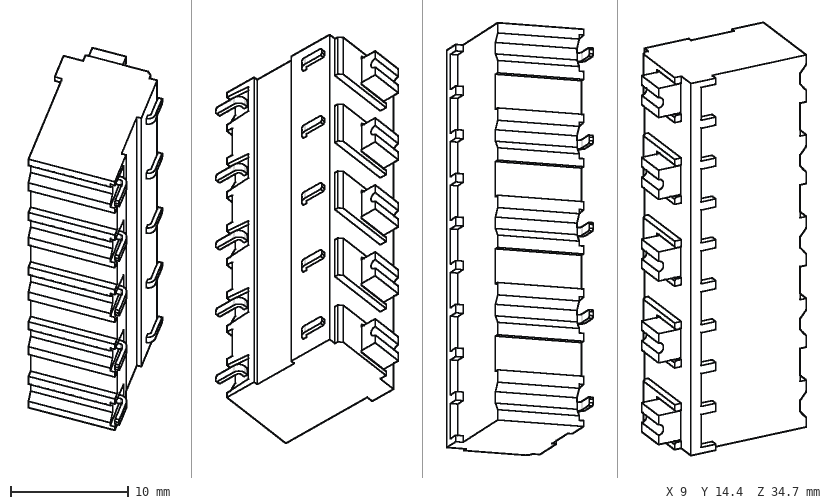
import cadquery as cq

POLE_COUNT = 5
POLE_PITCH = 7.62
TOTAL_LENGTH = 34.68
POLE_ZS = [(i - (POLE_COUNT - 1) / 2) * POLE_PITCH for i in range(POLE_COUNT)]
GAP_ZS = [(i - (POLE_COUNT - 2) / 2) * POLE_PITCH for i in range(POLE_COUNT - 1)]
WINDOW_LENGTH = 3.06

FLANGE_THICKNESS = 0.65
BODY_RIGHT = 8.4
TOTAL_WIDTH = 9.0
CHANNEL_DEPTH = 0.4
CHANNEL_FLOOR = BODY_RIGHT - CHANNEL_DEPTH

TOTAL_HEIGHT = 14.38
BODY_FRONT = 0.75
BODY_BACK = 12.25
CHANNEL_START = 3.8
CHANNEL_END = 7.95
FLANGE_START = 9.85
FLANGE_WINDOW_END = 11.25

RECESS_DEPTH = 0.6
GROOVE_MOUTH = 2.4
GROOVE_FLOOR = 1.0
POCKET_MOUTH = 3.16
POCKET_FLOOR = 2.74
POCKET_DEPTH = 2.4

CAP_LEFT = 1.75
CAP_RIGHT = 7.7
CAP_BACK = 12.9
CAP_LENGTH = TOTAL_LENGTH - (POLE_COUNT - 1) * POLE_PITCH
CAP_CHAMFER = 0.32
SLOT_LENGTH = 2.9
SLOT_CHAMFER = 0.15

BUTTON_LEFT = 1.87
BUTTON_RIGHT = 4.92
BUTTON_LENGTH = 2.72
BUTTON_GROOVE_RADIUS = 0.48

PIN_WIDTH = 0.75
PIN_THICKNESS = 0.36
PIN_BEND_RADIUS = 0.65
PIN_EMBED = 0.5
PIN_ROOT = CHANNEL_FLOOR - PIN_EMBED
PIN_TIP_CHAMFER_Y = 0.15
PIN_TIP_CHAMFER_Z = 0.21
LOWER_PIN_TIP = 0.0
LOWER_PIN_OUTER = 2.7
UPPER_PIN_TIP = 11.9
UPPER_PIN_OUTER = 9.3


def block(x_range, y_range, z_center, length):
    """Box spanning two X positions and two Y positions, centred on a Z position."""
    return (
        cq.Workplane("XY", origin=(0, 0, z_center - length / 2))
        .moveTo(x_range[0], y_range[0])
        .lineTo(x_range[1], y_range[0])
        .lineTo(x_range[1], y_range[1])
        .lineTo(x_range[0], y_range[1])
        .close()
        .extrude(length)
    )


def yz_trapezoid(x_range, y_ends, z_center, lengths):
    """Prism along X whose Z length changes from one Y end to the other."""
    half_a, half_b = lengths[0] / 2, lengths[1] / 2
    return (
        cq.Workplane("YZ", origin=(x_range[0], 0, z_center))
        .moveTo(y_ends[0], -half_a)
        .lineTo(y_ends[1], -half_b)
        .lineTo(y_ends[1], half_b)
        .lineTo(y_ends[0], half_a)
        .close()
        .extrude(x_range[1] - x_range[0])
    )


def make_body():
    """Block with a windowed flange on one side and a channel along the other."""
    body = block((FLANGE_THICKNESS, BODY_RIGHT), (BODY_FRONT, BODY_BACK), 0, TOTAL_LENGTH)
    flange = block((0, FLANGE_THICKNESS), (FLANGE_START, BODY_BACK), 0, TOTAL_LENGTH)
    for z in POLE_ZS + GAP_ZS:
        flange = flange.cut(block((0, FLANGE_THICKNESS), (FLANGE_START, FLANGE_WINDOW_END), z, WINDOW_LENGTH))
    channel = block((CHANNEL_FLOOR, BODY_RIGHT), (CHANNEL_START, CHANNEL_END), 0, TOTAL_LENGTH)
    return body.union(flange).cut(channel)


def cut_front(body):
    """Recess the front between poles; cut a groove and a pin pocket at each pole."""
    body_x = (FLANGE_THICKNESS, BODY_RIGHT)
    pocket_x = (CHANNEL_FLOOR, BODY_RIGHT)
    recess_y = (BODY_FRONT, BODY_FRONT + RECESS_DEPTH)
    pocket_y = (BODY_FRONT, BODY_FRONT + POCKET_DEPTH)
    for z in GAP_ZS:
        body = body.cut(block(body_x, recess_y, z, WINDOW_LENGTH))
    for z in POLE_ZS:
        groove = yz_trapezoid(body_x, recess_y, z, (GROOVE_MOUTH, GROOVE_FLOOR))
        pocket = yz_trapezoid(pocket_x, pocket_y, z, (POCKET_MOUTH, POCKET_FLOOR))
        body = body.cut(groove).cut(pocket)
    return body


def make_cap(z):
    """Raised cap with one chamfered edge and a chamfered slot for the button."""
    cap = block((CAP_LEFT, CAP_RIGHT), (BODY_BACK, CAP_BACK), z, CAP_LENGTH)
    cap = cap.edges("|Z and >X and >Y").chamfer(CAP_CHAMFER)
    slot_x = (CAP_LEFT, BUTTON_RIGHT)
    slot = block(slot_x, (BODY_BACK, CAP_BACK), z, SLOT_LENGTH)
    mouth = yz_trapezoid(
        slot_x, (CAP_BACK - SLOT_CHAMFER, CAP_BACK), z, (SLOT_LENGTH, SLOT_LENGTH + 2 * SLOT_CHAMFER)
    )
    return cap.cut(slot).cut(mouth)


def make_button(z):
    """Rectangular push button with a round groove across its end."""
    button = block((BUTTON_LEFT, BUTTON_RIGHT), (BODY_BACK, TOTAL_HEIGHT), z, BUTTON_LENGTH)
    groove = (
        cq.Workplane("YZ", origin=(BUTTON_LEFT, TOTAL_HEIGHT, z))
        .circle(BUTTON_GROOVE_RADIUS)
        .extrude(BUTTON_RIGHT - BUTTON_LEFT)
    )
    return button.cut(groove)


def make_pin(z, outer_y, tip_y):
    """Flat pin leaving the side along X and bending along Y toward its tip."""
    toward_tip = 1 if tip_y > outer_y else -1
    bend_y = outer_y + toward_tip * PIN_BEND_RADIUS
    inner_y = outer_y + toward_tip * PIN_THICKNESS
    bend_x = TOTAL_WIDTH - PIN_BEND_RADIUS
    inner_x = TOTAL_WIDTH - PIN_THICKNESS
    bent_strip = (
        cq.Workplane("XY", origin=(0, 0, z - PIN_WIDTH / 2))
        .moveTo(PIN_ROOT, outer_y)
        .lineTo(bend_x, outer_y)
        .tangentArcPoint((TOTAL_WIDTH, bend_y), relative=False)
        .lineTo(TOTAL_WIDTH, tip_y)
        .lineTo(inner_x, tip_y)
        .lineTo(inner_x, bend_y)
        .tangentArcPoint((bend_x, inner_y), relative=False)
        .lineTo(PIN_ROOT, inner_y)
        .close()
        .extrude(PIN_WIDTH)
    )
    leg_x = (inner_x, TOTAL_WIDTH)
    shoulder_y = tip_y - toward_tip * PIN_TIP_CHAMFER_Y
    tip_space = block(leg_x, (shoulder_y, tip_y), z, PIN_WIDTH)
    tip = yz_trapezoid(leg_x, (shoulder_y, tip_y), z, (PIN_WIDTH, PIN_WIDTH - 2 * PIN_TIP_CHAMFER_Z))
    return bent_strip.cut(tip_space.cut(tip))


result = cut_front(make_body())
for pole_z in POLE_ZS:
    result = result.union(make_cap(pole_z))
    result = result.union(make_button(pole_z))
    result = result.union(make_pin(pole_z, LOWER_PIN_OUTER, LOWER_PIN_TIP))
    result = result.union(make_pin(pole_z, UPPER_PIN_OUTER, UPPER_PIN_TIP))